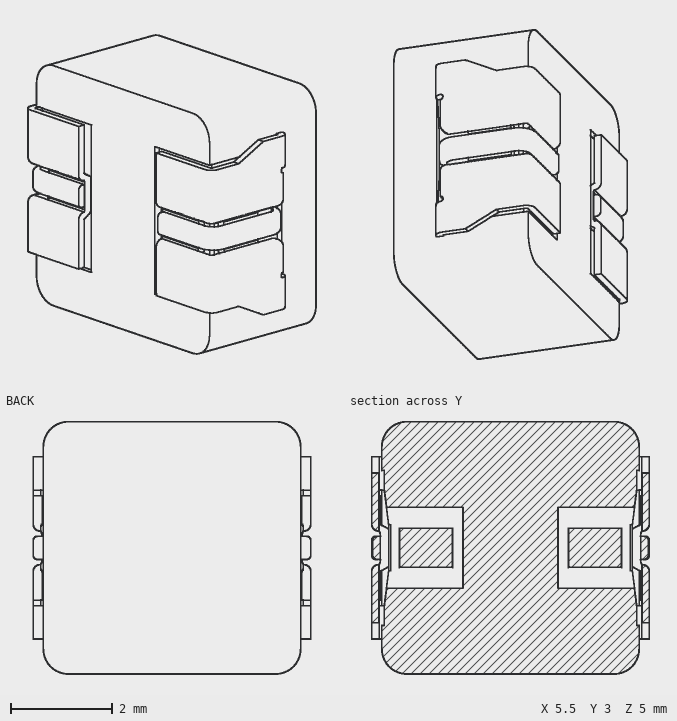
import cadquery as cq


overall_width = 5.5
sheet = 0.15
body_width = 5.1
body_depth = 2.85
body_height = 5.0
body_corner = 0.5
outer_x = overall_width / 2
body_x = body_width / 2

recess_inner_x = 0.94
recess_top_y = 1.935
recess_half_height = 1.535
slope_outer_z = 1.145
slope_inner_z = 0.455
front_shallow = 0.11
front_deep = 0.17
side_shallow = 0.05
side_deep = 0.14
floor_chamfer_x = 0.04
floor_chamfer_y = 0.08

terminal_half_height = 1.805
pad_outer_z = 1.485
pad_inner_z = 0.33
pad_end_x = 1.145
bend_radius = 0.18
taper_start_y = 1.255
taper_end_y = 0.6
relief_z = 1.09
relief_radius = 0.055
anchor_depth = 0.165
anchor_x = side_deep + anchor_depth - body_x
inner_edge_radius = 0.145

web_face_z = 0.285
web_back_z = 0.375
web_setback = 0.02
web_start_x = 2.2
web_low_y = 0.35
web_high_y = 1.26

wire_front_y = -0.125
wire_top_y = 1.93
wire_half_height = 0.23
wire_end_x = 1.165
wire_bend_radius = 0.38
wire_edge_radius = 0.09

overshoot = 0.275


def box(x_range, y_range, z_range):
    """Axis-aligned box from (low, high) pairs."""
    sizes = [high - low for low, high in (x_range, y_range, z_range)]
    corner = (x_range[0], y_range[0], z_range[0])
    return cq.Workplane("XY").box(*sizes, centered=False).translate(corner)


def make_body():
    return (
        cq.Workplane("XZ")
        .rect(body_width, body_height)
        .extrude(-body_depth)
        .edges("|Y")
        .fillet(body_corner)
    )


def floor_profile(shallow, deep):
    """Recess section as (depth, z) points: shallow at both ends, deep in the middle."""
    return [
        (-overshoot, -recess_half_height),
        (shallow, -recess_half_height),
        (shallow, -slope_outer_z),
        (deep, -slope_inner_z),
        (deep, slope_inner_z),
        (shallow, slope_outer_z),
        (shallow, recess_half_height),
        (-overshoot, recess_half_height),
    ]


def make_recess():
    """Cutting tool for the left recess, wrapping from the front onto the side."""
    front = (
        cq.Workplane("YZ", origin=(-body_x - overshoot, 0, 0))
        .polyline(floor_profile(front_shallow, front_deep))
        .close()
        .extrude(body_x + overshoot - recess_inner_x)
    )
    side_points = [(depth - body_x, z) for depth, z in floor_profile(side_shallow, side_deep)]
    side = (
        cq.Workplane("XZ", origin=(0, -overshoot, 0))
        .polyline(side_points)
        .close()
        .extrude(-(recess_top_y + overshoot))
    )
    floor_x = side_deep - body_x
    bevel = (
        cq.Workplane("XY", origin=(0, 0, -slope_inner_z))
        .polyline([
            (floor_x, front_deep),
            (floor_x + floor_chamfer_x, front_deep),
            (floor_x, front_deep + floor_chamfer_y),
        ])
        .close()
        .extrude(2 * slope_inner_z)
    )
    return front.union(side).union(bevel)


def bent_strip(front_y, top_y, end_x, bend, low_z, high_z):
    """C-shaped strip seen along Z: front leg, side leg and a top leg. Still solid inside the C."""
    return (
        box((-outer_x, -end_x), (front_y, top_y), (low_z, high_z))
        .edges("|Z and <X")
        .fillet(bend)
    )


def round_outer_edge(strip, end_face, radius):
    """Round the outer edge at one Z end; the fillet follows the bends along the strip."""
    return strip.faces(end_face).edges("<Y").fillet(radius)


def hollow_out(strip, front_y, top_y, bend):
    """Leave one sheet thickness of the strip and trim the top leg just inside the body."""
    z_range = (-body_height / 2, body_height / 2)
    inside = (
        box((sheet - outer_x, 0), (front_y + sheet, top_y - sheet), z_range)
        .edges("|Z and <X")
        .fillet(bend - sheet)
    )
    beyond_anchor = box((anchor_x, 0), (front_y + sheet, top_y + overshoot), z_range)
    return strip.cut(inside).cut(beyond_anchor)


def web_profile(floor_depth):
    """Dished web section as (depth, z) points, from the inside of the sheet to the recess floor."""
    upper = [
        (web_setback, web_face_z),
        (0, pad_inner_z),
        (0, pad_inner_z + sheet),
        (floor_depth, web_back_z),
    ]
    lower = [(depth, -z) for depth, z in reversed(upper)]
    return upper + lower


def make_webs():
    """Webs of the left terminal: one behind the front pads, one behind the side legs."""
    leg_x = sheet - outer_x
    front = (
        cq.Workplane("YZ", origin=(-web_start_x, 0, 0))
        .polyline(web_profile(front_deep))
        .close()
        .extrude(web_start_x - pad_end_x)
    )
    leg_to_floor = side_deep - body_x - leg_x
    side = (
        cq.Workplane("XZ", origin=(leg_x, web_low_y, 0))
        .polyline(web_profile(leg_to_floor))
        .close()
        .extrude(web_low_y - web_high_y)
    )
    return front.union(side)


def make_terminal_half():
    """Upper half of the left terminal; the lower half is its mirror image."""
    leg_top_y = recess_top_y - sheet
    strip = bent_strip(-sheet, recess_top_y, pad_end_x, bend_radius, pad_inner_z, terminal_half_height)
    strip = round_outer_edge(strip, "<Z", inner_edge_radius)
    strip = hollow_out(strip, -sheet, recess_top_y, bend_radius)

    outline = (
        cq.Workplane("YZ", origin=(-outer_x, 0, 0))
        .moveTo(-sheet, pad_inner_z)
        .lineTo(leg_top_y - sheet, pad_inner_z)
        .radiusArc((leg_top_y, pad_inner_z + sheet), -sheet)
        .lineTo(leg_top_y, relief_z - relief_radius)
        .threePointArc((leg_top_y - relief_radius, relief_z), (leg_top_y, relief_z + relief_radius))
        .lineTo(recess_top_y, relief_z + relief_radius)
        .lineTo(recess_top_y, terminal_half_height)
        .lineTo(taper_start_y, terminal_half_height)
        .lineTo(taper_end_y, pad_outer_z)
        .lineTo(-sheet, pad_outer_z)
        .close()
        .extrude(outer_x)
    )
    return strip.intersect(outline)


def make_wire():
    wire = bent_strip(
        wire_front_y, wire_top_y, wire_end_x, wire_bend_radius, -wire_half_height, wire_half_height
    )
    for end_face in ("<Z", ">Z"):
        wire = round_outer_edge(wire, end_face, wire_edge_radius)
    return hollow_out(wire, wire_front_y, wire_top_y, wire_bend_radius)


def make_assembly():
    recess = make_recess()
    terminal = make_terminal_half()
    wire = make_wire()
    fittings = [terminal, terminal.mirror("XY"), make_webs(), wire]

    assembly = make_body().cut(recess).cut(recess.mirror("YZ"))
    for fitting in fittings:
        assembly = assembly.union(fitting).union(fitting.mirror("YZ"))
    return assembly


result = make_assembly()